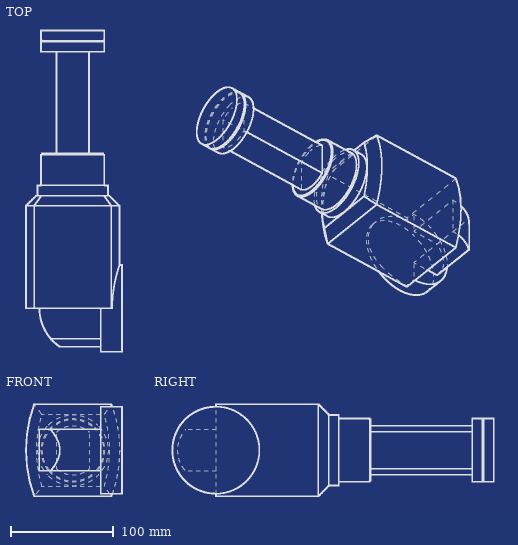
import cadquery as cq
import math

body_length = 100.0
body_height = 90.0
body_half_width = 45.65
body_side_radius = 130.0
shoulder_length = 10.0
shoulder_taper = 45.0

neck_base_radius = 34.5
neck_base_length = 10.0
neck_radius = 31.0
neck_length = 30.0
spacer_radius = 30.0
spacer_length = 1.0

shaft_radius = 24.0
shaft_flat_width = 32.0
shaft_length = 99.0
flange_radius = 31.0
flange_disc_length = 10.0

disc_radius = 42.5
disc_thickness = 21.0
disc_outer_x = 48.2

nose_height = 40.6
nose_reach = 37.5
nose_end_radius = 30.0
nose_left_x = -32.6
nose_side_radius = 45.0

shoulder_y = body_length
neck_base_y = shoulder_y + shoulder_length
neck_y = neck_base_y + neck_base_length
neck_spacer_y = neck_y + neck_length
shaft_y = neck_spacer_y + spacer_length
flange_y = shaft_y + shaft_length
flange_groove_y = flange_y + flange_disc_length
flange_end_y = flange_groove_y + spacer_length

disc_inner_x = disc_outer_x - disc_thickness


def plane_at(y):
    """Sketch plane facing +Y; its local y axis is Z."""
    return cq.Plane(origin=(0, y, 0), xDir=(-1, 0, 0), normal=(0, 1, 0))


def rod(y, radius, length):
    return cq.Workplane(plane_at(y)).circle(radius).extrude(length)


def body_outline(y):
    """Flat top and bottom, with both sides bulged outward."""
    half_height = body_height / 2
    bulge = body_side_radius - math.sqrt(body_side_radius**2 - half_height**2)
    corner_x = body_half_width - bulge
    return (
        cq.Workplane(plane_at(y))
        .moveTo(-corner_x, -half_height)
        .lineTo(corner_x, -half_height)
        .threePointArc((body_half_width, 0), (corner_x, half_height))
        .lineTo(-corner_x, half_height)
        .threePointArc((-body_half_width, 0), (-corner_x, -half_height))
        .close()
    )


def make_body():
    block = body_outline(0).extrude(body_length)
    shoulder = body_outline(shoulder_y).extrude(shoulder_length, taper=shoulder_taper)
    return block.union(shoulder)


def make_neck():
    base = rod(neck_base_y, neck_base_radius, neck_base_length)
    collar = rod(neck_y, neck_radius, neck_length)
    spacer = rod(neck_spacer_y, spacer_radius, spacer_length)
    return base.union(collar).union(spacer)


def make_shaft():
    flats = cq.Workplane(plane_at(shaft_y)).rect(shaft_flat_width, 2 * shaft_radius).extrude(shaft_length)
    return rod(shaft_y, shaft_radius, shaft_length).intersect(flats)


def make_flange():
    inner_disc = rod(flange_y, flange_radius, flange_disc_length)
    groove_core = rod(flange_groove_y, spacer_radius, spacer_length)
    outer_disc = rod(flange_end_y, flange_radius, flange_disc_length)
    return inner_disc.union(groove_core).union(outer_disc)


def make_side_disc():
    return cq.Workplane("YZ", origin=(disc_inner_x, 0, 0)).circle(disc_radius).extrude(disc_thickness)


def make_nose():
    """Bar along X with a rounded front; its free end is rounded about a Z axis."""
    half_height = nose_height / 2
    sag = nose_end_radius - math.sqrt(nose_end_radius**2 - half_height**2)
    corner_y = sag - nose_reach
    bar = (
        cq.Workplane("YZ", origin=(nose_left_x, 0, 0))
        .moveTo(0, -half_height)
        .lineTo(corner_y, -half_height)
        .threePointArc((-nose_reach, 0), (corner_y, half_height))
        .lineTo(0, half_height)
        .close()
        .extrude(disc_inner_x - nose_left_x)
    )
    side_round = (
        cq.Workplane("XY", origin=(nose_left_x + nose_side_radius, 0, -half_height))
        .circle(nose_side_radius)
        .extrude(nose_height)
    )
    return bar.intersect(side_round)


result = (
    make_body()
    .union(make_neck())
    .union(make_shaft())
    .union(make_flange())
    .union(make_side_disc())
    .union(make_nose())
)